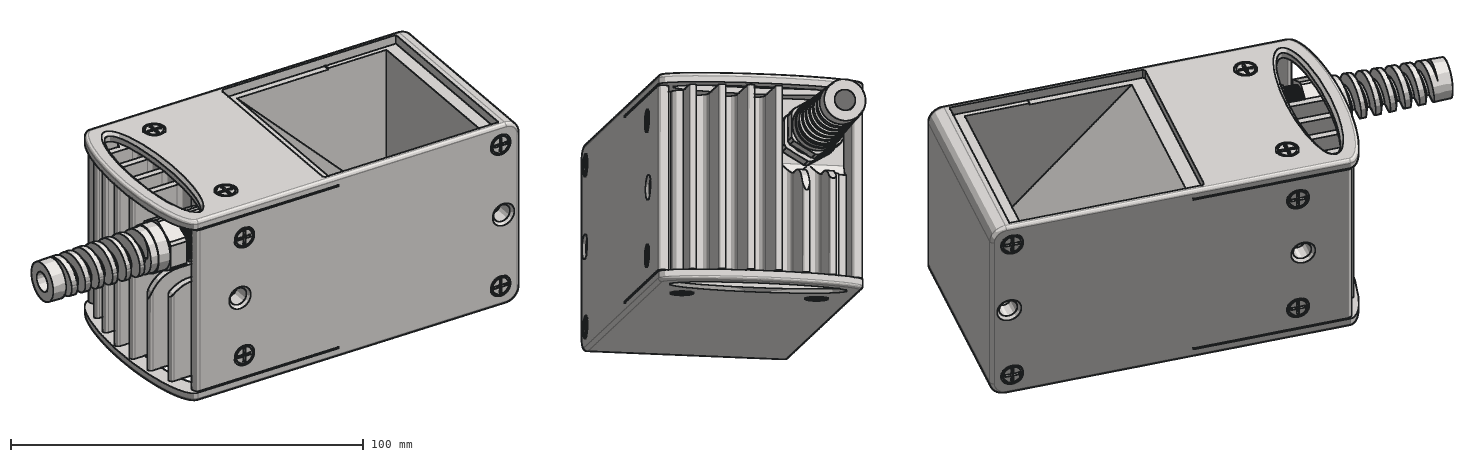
import cadquery as cq
import math


width = 59.3
height = 59.9
half_width = width / 2
half_height = height / 2
length = 150.1
nose_depth = 7.5
nose_start = -107.0
back_radius = 4.7
edge_radius = 1.0

cover_thickness = 2.9
cover_start = -60.3
cover_inner_z = half_height - cover_thickness
seam_gap = 0.5
seam_depth = 0.5

ledge_half_width = 27.9
ledge_back = -6.2
ledge_front = -64.2
ledge_corner = 0.6
chamber_half_width = 26.4
chamber_back = -10.2
chamber_length = chamber_back - cover_start

fin_count = 6
fin_pitch = 8.1
fin_thickness = 2.1
fin_root = -96.0
fin_tip = -114.2
tip_arc_radius = 66.0
post_thickness = 3.2
post_inner_x = half_width - post_thickness
post_x = half_width - post_thickness / 2
outer_fin_x = fin_pitch * (fin_count - 1) / 2
channel_width = fin_pitch - fin_thickness
root_radius = channel_width / 2
clearance = 7.5

oval_y = -104.0
oval_half_length = 24.6
oval_half_width = 5.4
oval_bevel = 1.0

seat_left = 8.0
seat_bottom = 4.7
seat_fillet = 3.3
shoulder_tip = -113.3
shoulder_radius = 9.8

screw_radius = 3.3
screw_ring = 0.6
screw_ring_depth = 0.5
cross_length = 4.2
cross_width = 0.8
cross_depth = 0.9
front_screw_y = -91.5
front_screw_offset = 19.5
back_screw_y = -6.5
back_screw_z = 23.4
mount_radius = 2.7
mount_chamfer = 0.9
mount_depth = 6.0
mount_cone = 1.5
mount_ys = (-5.5, -93.0)

gland_x = 15.5
gland_z = 15.9
hex_flats = 14.9
hex_corner_radius = 8.3
lock_nut_end = -101.6
thread_end = -106.5
cap_nut_end = -112.0
thread_radius = 6.3
thread_pitch = 0.9
thread_groove = 0.38
flange_radius = 7.2
flange_end = -115.7
collar_end = -118.1
relief_radius = 6.9
tail_radius = 6.0
tail_start = -145.9
core_radius = 3.9
bore_radius = 3.0
coil_start = -116.6
coil_end = -147.5
coil_turns = 7
coil_pitch = (coil_start - coil_end) / coil_turns
coil_tip = 1.0
coil_base = 3.9
coil_overlap = 0.3
coil_outer_radius = 7.4


def plan(z):
    """Sketch plane parallel to XY at height z."""
    return cq.Workplane("XY", origin=(0, 0, z))


def both_ends(cutter):
    """A shape together with its copy mirrored to the opposite Z side."""
    return cutter.union(cutter.mirror("XY"))


def housing():
    """Outer block: flat back, sides that end in a half-ellipse nose, and rounded edges."""
    block = (
        plan(-half_height)
        .moveTo(-half_width, 0)
        .lineTo(-half_width, nose_start)
        .ellipseArc(half_width, nose_depth, 180, 360, startAtCurrent=True)
        .lineTo(half_width, 0)
        .close()
        .extrude(height)
    )
    block = block.edges(">Y and |X").fillet(back_radius)
    return block.faces("<X or >X").edges().fillet(edge_radius)


def upright_slot(x, back, front, thickness):
    """Upright shape between the covers, rounded at its back and front ends."""
    return (
        plan(-cover_inner_z)
        .center(x, (back + front) / 2)
        .slot2D(back - front, thickness, 90)
        .extrude(2 * cover_inner_z)
    )


def tip_y(x):
    """Y of a fin tip: all the tips lie on one large arc."""
    return fin_tip + tip_arc_radius - math.sqrt(tip_arc_radius**2 - x**2)


def fins():
    """Finned front of the body: round-tipped fins and corner posts, with round roots between them."""
    back = fin_root + clearance
    root_front = fin_root - root_radius
    body = cq.Workplane("XY").box(width, back - root_front, 2 * cover_inner_z)
    body = body.translate((0, (back + root_front) / 2, 0))
    for i in range(fin_count - 1):
        x = (i - (fin_count - 2) / 2) * fin_pitch
        body = body.cut(upright_slot(x, fin_root, fin_tip, channel_width))
    for i in range(fin_count):
        x = (i - (fin_count - 1) / 2) * fin_pitch
        body = body.union(upright_slot(x, back, tip_y(x), fin_thickness))
    for x in (-post_x, post_x):
        body = body.union(upright_slot(x, back, tip_y(x), post_thickness))
    return body.union(root_web(1)).union(root_web(-1))


def root_web(side):
    """Concave fillet that joins the outermost fin to the web beside the corner post."""
    web_front = fin_root - root_radius
    face = outer_fin_x + fin_thickness / 2
    return (
        plan(-cover_inner_z)
        .moveTo(side * face, web_front)
        .lineTo(side * face, web_front - root_radius)
        .radiusArc((side * (face + root_radius), web_front), -side * root_radius)
        .close()
        .extrude(2 * cover_inner_z)
    )


def grille_space():
    """Everything to clear away between the covers so that the fins and corner posts remain."""
    back = fin_root + clearance
    front = fin_tip - clearance
    room = cq.Workplane("XY").box(width, back - front, 2 * cover_inner_z)
    return room.translate((0, (back + front) / 2, 0)).cut(fins())


def seam_grooves():
    """Shallow grooves where the covers rest on the sides of the body."""
    inner_width = width - 2 * seam_depth
    groove_length = cover_start - nose_start + 2 * nose_depth
    groove = (
        plan(cover_inner_z - seam_gap)
        .center(0, cover_start - groove_length / 2)
        .rect(width, groove_length)
        .rect(inner_width, 2 * groove_length)
        .extrude(seam_gap)
    )
    return both_ends(groove)


def mirror_chamber():
    """Window recess in the top and, under it, a chamber with a floor sloping at 45 degrees."""
    recess_length = ledge_back - ledge_front
    recess = (
        plan(cover_inner_z)
        .center(0, ledge_front + recess_length / 2)
        .rect(2 * ledge_half_width, recess_length)
        .extrude(cover_thickness)
        .edges("|Z and <Y")
        .chamfer(ledge_corner)
    )
    chamber = (
        cq.Workplane("YZ")
        .polyline([
            (cover_start, cover_inner_z),
            (chamber_back, cover_inner_z),
            (chamber_back, cover_inner_z - chamber_length),
        ])
        .close()
        .extrude(chamber_half_width, both=True)
    )
    return recess.union(chamber)


def cover_openings():
    """Oval air openings through both covers, bevelled on the outside."""
    straight = (
        plan(cover_inner_z)
        .center(0, oval_y)
        .ellipse(oval_half_length, oval_half_width)
        .extrude(cover_thickness)
    )
    bevel = (
        plan(half_height - oval_bevel)
        .center(0, oval_y)
        .ellipse(oval_half_length, oval_half_width)
        .workplane(offset=oval_bevel)
        .ellipse(oval_half_length + oval_bevel, oval_half_width + oval_bevel)
        .loft(ruled=True)
    )
    return both_ends(straight.union(bevel))


def gland_seat():
    """Clearance for the gland: a flat seat at the fin roots, filleted below, and round fin shoulders."""
    shoulder_back = shoulder_tip + shoulder_radius
    shoulder_bottom = seat_bottom - shoulder_radius
    front = fin_tip - clearance
    return (
        cq.Workplane("YZ", origin=(seat_left, 0, 0))
        .moveTo(fin_root, cover_inner_z)
        .lineTo(fin_root, seat_bottom + seat_fillet)
        .radiusArc((fin_root - seat_fillet, seat_bottom), seat_fillet)
        .lineTo(shoulder_back, seat_bottom)
        .radiusArc((shoulder_tip, shoulder_bottom), -shoulder_radius)
        .lineTo(front, shoulder_bottom)
        .lineTo(front, cover_inner_z)
        .close()
        .extrude(post_inner_x - seat_left)
    )


def screw_cut():
    """Groove around a screw head and its cross slot, sunk below Z = 0."""
    head_radius = screw_radius - screw_ring
    ring = plan(-screw_ring_depth).circle(screw_radius).circle(head_radius).extrude(screw_ring_depth)
    bar = plan(-cross_depth).rect(cross_length, cross_width).extrude(cross_depth)
    crossbar = plan(-cross_depth).rect(cross_width, cross_length).extrude(cross_depth)
    return ring.union(bar).union(crossbar)


def mount_cut():
    """Blind mounting hole below Z = 0, with a countersunk rim and a conical end."""
    rim_radius = mount_radius + mount_chamfer
    cone_tip = mount_depth + mount_cone
    return (
        cq.Workplane("XZ")
        .polyline([
            (0, 0),
            (rim_radius, 0),
            (mount_radius, -mount_chamfer),
            (mount_radius, -mount_depth),
            (0, -cone_tip),
        ])
        .close()
        .revolve(360, (0, 0, 0), (0, 1, 0))
    )


def side_cuts():
    """Screws and mounting holes of both side faces."""
    cuts = cq.Workplane("XY")
    facing_left = screw_cut().rotate((0, 0, 0), (0, 1, 0), -90)
    for y, z in ((back_screw_y, back_screw_z), (front_screw_y, front_screw_offset)):
        for sign in (-1, 1):
            cuts = cuts.add(facing_left.translate((-half_width, y, sign * z)))
    left_hole = mount_cut().rotate((0, 0, 0), (0, 1, 0), -90)
    for y in mount_ys:
        cuts = cuts.add(left_hole.translate((-half_width, y, 0)))
    cuts = cuts.combine()
    return cuts.union(cuts.mirror("YZ"))


def cover_screws():
    """Two screws in each cover."""
    screw = screw_cut().translate((front_screw_offset, front_screw_y, half_height))
    return both_ends(screw.union(screw.mirror("YZ")))


def gland_section(y):
    """Sketch plane across the gland axis at y, its normal pointing to the free end."""
    return cq.Workplane("XZ", origin=(gland_x, y, gland_z))


def nut(start, end):
    """Hexagon nut with its corners pointing up and down, rounded to the corner radius."""
    across_corners = hex_flats / math.cos(math.pi / 6)
    hexagon = gland_section(start).transformed(rotate=(0, 0, 30)).polygon(6, across_corners)
    return hexagon.extrude(start - end).intersect(
        gland_section(start).circle(hex_corner_radius).extrude(start - end)
    )


def thread():
    """Neck through both nuts, its thread simplified to ring grooves."""
    neck = gland_section(fin_root).circle(thread_radius).extrude(fin_root - cap_nut_end)
    groove_count = int((lock_nut_end - thread_end) / thread_pitch)
    for i in range(groove_count):
        groove = (
            gland_section(lock_nut_end - (i + 0.5) * thread_pitch)
            .circle(thread_radius)
            .circle(thread_radius - thread_groove)
            .extrude(thread_pitch / 2)
        )
        neck = neck.cut(groove)
    return neck


def coil():
    """Helical rib of the strain relief, left over-long for trimming to the taper."""
    path = cq.Wire.makeHelix(coil_pitch, coil_start - coil_end, core_radius)
    inner_radius = core_radius - coil_overlap
    rib = (
        cq.Workplane("XZ")
        .polyline([
            (inner_radius, -coil_base / 2),
            (coil_outer_radius, -coil_tip / 2),
            (coil_outer_radius, coil_tip / 2),
            (inner_radius, coil_base / 2),
        ])
        .close()
        .sweep(cq.Workplane(path), isFrenet=True)
    )
    return rib.rotate((0, 0, 0), (1, 0, 0), 90).translate((gland_x, coil_start, gland_z))


def relief_ring(start, end, outer_radius):
    """Tube section of the strain relief, open along the cable bore."""
    return gland_section(start).circle(outer_radius).circle(bore_radius).extrude(start - end)


def strain_relief():
    """Tapered bending relief: thin tube with a helical rib between a collar and an end sleeve."""
    taper_length = flange_end + length
    taper_angle = math.degrees(math.atan((relief_radius - tail_radius) / taper_length))
    taper = gland_section(flange_end).circle(relief_radius).extrude(taper_length, taper=taper_angle)
    relief = relief_ring(flange_end, -length, core_radius).union(coil())
    relief = relief.union(relief_ring(flange_end, collar_end, coil_outer_radius + coil_overlap))
    relief = relief.union(relief_ring(tail_start, -length, coil_outer_radius + coil_overlap))
    return relief.intersect(taper)


def cable_gland():
    flange = gland_section(cap_nut_end).circle(flange_radius).extrude(cap_nut_end - flange_end)
    gland = thread().union(nut(fin_root, lock_nut_end)).union(nut(thread_end, cap_nut_end))
    return gland.union(flange).union(strain_relief())


shell = housing().cut(grille_space()).cut(seam_grooves()).cut(mirror_chamber())
shell = shell.cut(cover_openings()).cut(gland_seat()).cut(cover_screws()).cut(side_cuts())
result = shell.union(cable_gland())